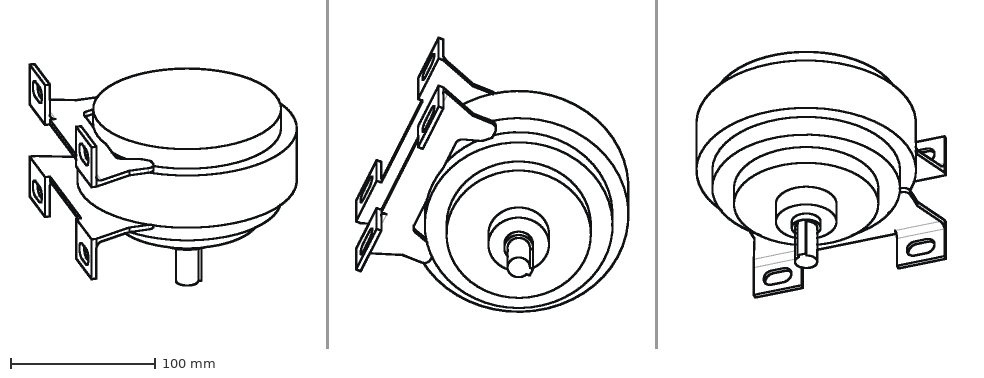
import cadquery as cq

drum_diameter = 152.0
drum_height = 40.0
cover_diameter = 130.0
cover_height = 15.0
hub_diameter = 100.0
hub_height = 13.3
boss_diameter = 42.0
boss_height = 15.0
collar_diameter = 20.0
collar_height = 5.0

shaft_diameter = 15.5
shaft_length = 28.7
key_width = 5.7
key_top = 9.5

sheet = 3.5
total_depth = 168.0
foot_back = drum_diameter / 2 - total_depth
plate_edge = foot_back + sheet
foot_width = 35.0
foot_height = 30.5
bracket_half_width = 70.0
bend_radius = 4.0
neck_half_width = 59.8
neck_start = -61.3
ear_end = -42.2
ear_radius = 5.0
notch_bottom = -63.5
notch_bottom_half_width = 39.0
notch_mouth_half_width = 46.2
notch_radius = 5.0
slot_length = 20.3
slot_width = 11.8
upper_slot_height = 17.3
lower_slot_height = 19.0
foot_center = bracket_half_width - foot_width / 2

drum_face = drum_height / 2


def make_housing():
    """Drum with a cover above, and covers, bosses and shaft stepping downward."""
    body = cq.Workplane("XY").circle(drum_diameter / 2).extrude(drum_face, both=True)
    body = body.union(
        cq.Workplane("XY", origin=(0, 0, drum_face)).circle(cover_diameter / 2).extrude(cover_height)
    )
    steps = [
        (cover_diameter, cover_height),
        (hub_diameter, hub_height),
        (boss_diameter, boss_height),
        (collar_diameter, collar_height),
        (shaft_diameter, shaft_length),
    ]
    level = -drum_face
    for diameter, height in steps:
        step = cq.Workplane("XY", origin=(0, 0, level)).circle(diameter / 2).extrude(-height)
        body = body.union(step)
        level -= height
    key = cq.Workplane("XY", origin=(0, key_top / 2, level)).rect(key_width, key_top).extrude(shaft_length)
    return body.union(key)


def make_plate():
    """Flared plate, notched around the cover, with its mating face at Z = 0."""
    half_outline = [
        (bracket_half_width, plate_edge),
        (neck_half_width, neck_start),
        (neck_half_width, ear_end),
    ]
    mirrored = [(-x, y) for x, y in reversed(half_outline)]
    plate = cq.Workplane("XY").polyline(half_outline + mirrored).close().extrude(sheet)
    plate = plate.edges("|Z").edges(">Y").fillet(ear_radius)
    notch = (
        cq.Workplane("XY")
        .moveTo(-notch_mouth_half_width, ear_end)
        .lineTo(-notch_bottom_half_width, notch_bottom)
        .lineTo(notch_bottom_half_width, notch_bottom)
        .lineTo(notch_mouth_half_width, ear_end)
        .close()
        .extrude(sheet)
        .edges("|Z").edges("<Y")
        .fillet(notch_radius)
    )
    return plate.cut(notch)


def make_foot(side, slot_height):
    """Upright foot with a slot and a filleted inner corner, on the given X side."""
    bend_y = plate_edge + bend_radius
    bend_z = sheet + bend_radius
    foot = (
        cq.Workplane("YZ", origin=(side * foot_center, 0, 0))
        .moveTo(foot_back, 0)
        .lineTo(plate_edge, 0)
        .lineTo(plate_edge, foot_height)
        .lineTo(foot_back, foot_height)
        .close()
        .extrude(foot_width / 2, both=True)
    )
    bend = (
        cq.Workplane("YZ", origin=(side * foot_center, 0, 0))
        .moveTo(plate_edge, sheet)
        .lineTo(bend_y, sheet)
        .radiusArc((plate_edge, bend_z), bend_radius)
        .close()
        .extrude(foot_width / 2, both=True)
    )
    plate_column = make_plate().faces(">Z").wires().toPending().extrude(bend_radius, combine=False)
    slot = (
        cq.Workplane("XZ", origin=(side * foot_center, plate_edge, slot_height))
        .slot2D(slot_length, slot_width)
        .extrude(sheet)
    )
    return foot.cut(slot).union(bend.intersect(plate_column))


def make_bracket(slot_height):
    bracket = make_plate()
    for side in (-1, 1):
        bracket = bracket.union(make_foot(side, slot_height))
    return bracket


upper_bracket = make_bracket(upper_slot_height).translate((0, 0, drum_face))
lower_bracket = make_bracket(lower_slot_height).mirror("XY").translate((0, 0, -drum_face))

result = make_housing().union(upper_bracket).union(lower_bracket)